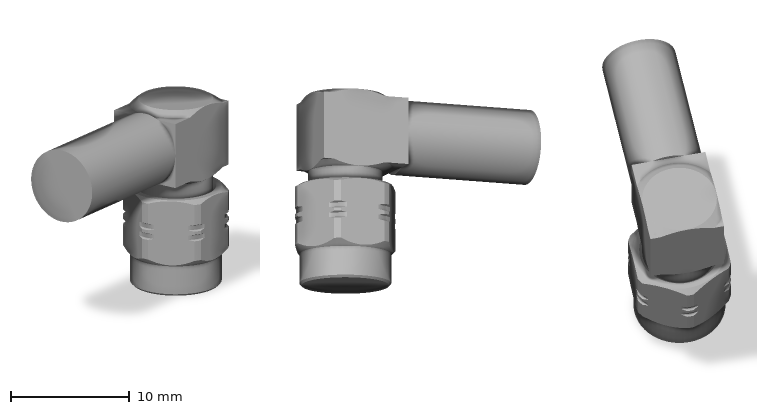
import cadquery as cq
import math


OVERALL_LENGTH = 20.95

NUT_HEIGHT = 8.52
NUT_SIDES = 6
NUT_ACROSS_FLATS = 8.0
NUT_CORNER_RADIUS = 4.45
BARREL_RADIUS = 3.87
BARREL_HEIGHT = 2.65
BARREL_CHAMFER = 0.19
NUT_TOP_FACE_RADIUS = 3.92
TOP_CHAMFER_ANGLE = 30

GROOVE_FLOOR_RADIUS = 4.25
GROOVE_FLOOR_WIDTH = 0.38
GROOVE_MOUTH_WIDTH = 0.59
GROOVE_HEIGHTS = (5.28, 6.14)

NECK_RADIUS = 3.15
BORE_FLOOR_HEIGHT = BARREL_HEIGHT
COUNTERSINK_RADIUS = 3.4
COUNTERSINK_DEPTH = COUNTERSINK_RADIUS - NECK_RADIUS

BLOCK_WIDTH = 6.35
BLOCK_BOTTOM = 9.7
BLOCK_TOP = 16.3
BLOCK_FRONT = 4.48
BLOCK_FACE_RADIUS = 3.15
BLOCK_CHAMFER_RADIUS = 3.94
BLOCK_CHAMFER_ANGLE = 30

FERRULE_RADIUS = 3.16
FERRULE_LENGTH = OVERALL_LENGTH - NUT_CORNER_RADIUS - BLOCK_FRONT


def revolve_profile(points):
    """Revolve a closed (radius, height) outline about the Z axis."""
    return cq.Workplane("XZ").polyline(points).close().revolve(360, (0, 0), (0, 1))


def make_nut_envelope():
    """Turned outside shape: chamfered barrel, flared shoulder and chamfered top."""
    shoulder_rise = NUT_CORNER_RADIUS - BARREL_RADIUS
    top_drop = (NUT_CORNER_RADIUS - NUT_TOP_FACE_RADIUS) * math.tan(math.radians(TOP_CHAMFER_ANGLE))
    return revolve_profile([
        (0, 0),
        (BARREL_RADIUS - BARREL_CHAMFER, 0),
        (BARREL_RADIUS, BARREL_CHAMFER),
        (BARREL_RADIUS, BARREL_HEIGHT),
        (NUT_CORNER_RADIUS, BARREL_HEIGHT + shoulder_rise),
        (NUT_CORNER_RADIUS, NUT_HEIGHT - top_drop),
        (NUT_TOP_FACE_RADIUS, NUT_HEIGHT),
        (0, NUT_HEIGHT),
    ])


def make_hexagon():
    """Hexagonal prism with two flats square to X and two corners on Y."""
    half_side_angle = 180 / NUT_SIDES
    across_corners = NUT_ACROSS_FLATS / math.cos(math.radians(half_side_angle))
    return (
        cq.Workplane("XY")
        .transformed(rotate=(0, 0, half_side_angle))
        .polygon(NUT_SIDES, across_corners)
        .extrude(NUT_HEIGHT)
    )


def make_corner_groove(height):
    """Ring with sloping walls, centred at the given height, that notches the hexagon corners."""
    wall_slope = (GROOVE_MOUTH_WIDTH - GROOVE_FLOOR_WIDTH) / 2 / (NUT_CORNER_RADIUS - GROOVE_FLOOR_RADIUS)
    outer_radius = NUT_CORNER_RADIUS + 0.2
    half_floor = GROOVE_FLOOR_WIDTH / 2
    half_outer = half_floor + wall_slope * (outer_radius - GROOVE_FLOOR_RADIUS)
    return revolve_profile([
        (GROOVE_FLOOR_RADIUS, height - half_floor),
        (outer_radius, height - half_outer),
        (outer_radius, height + half_outer),
        (GROOVE_FLOOR_RADIUS, height + half_floor),
    ])


def make_nut_bore():
    """Blind bore that fits the neck, with a countersunk mouth."""
    return revolve_profile([
        (0, BORE_FLOOR_HEIGHT),
        (NECK_RADIUS, BORE_FLOOR_HEIGHT),
        (NECK_RADIUS, NUT_HEIGHT - COUNTERSINK_DEPTH),
        (COUNTERSINK_RADIUS, NUT_HEIGHT),
        (0, NUT_HEIGHT),
    ])


def make_nut():
    nut = make_nut_envelope().intersect(make_hexagon())
    for height in GROOVE_HEIGHTS:
        nut = nut.cut(make_corner_groove(height))
    return nut.cut(make_nut_bore())


def make_block():
    """Rectangular block whose top and bottom are turned down to round faces."""
    length = BLOCK_FRONT + BLOCK_WIDTH / 2
    block = cq.Workplane("XY").box(
        BLOCK_WIDTH, length, BLOCK_TOP - BLOCK_BOTTOM, centered=(True, False, False)
    ).translate((0, -BLOCK_FRONT, BLOCK_BOTTOM))

    chamfer_height = (BLOCK_CHAMFER_RADIUS - BLOCK_FACE_RADIUS) * math.tan(math.radians(BLOCK_CHAMFER_ANGLE))
    clear_radius = 2 * BLOCK_FRONT
    top_waste = [
        (BLOCK_FACE_RADIUS, BLOCK_TOP),
        (BLOCK_CHAMFER_RADIUS, BLOCK_TOP - chamfer_height),
        (clear_radius, BLOCK_TOP - chamfer_height),
        (clear_radius, BLOCK_TOP),
    ]
    bottom_waste = [(radius, BLOCK_TOP + BLOCK_BOTTOM - height) for radius, height in top_waste]
    return block.cut(revolve_profile(top_waste)).cut(revolve_profile(bottom_waste))


def make_neck():
    """Round neck from the floor of the nut bore up to the block."""
    return (
        cq.Workplane("XY", origin=(0, 0, BORE_FLOOR_HEIGHT))
        .circle(NECK_RADIUS)
        .extrude(BLOCK_BOTTOM - BORE_FLOOR_HEIGHT)
    )


def make_ferrule():
    """Round cable ferrule running along -Y from the front face of the block."""
    middle_height = (BLOCK_BOTTOM + BLOCK_TOP) / 2
    return (
        cq.Workplane("XZ", origin=(0, -BLOCK_FRONT, middle_height))
        .circle(FERRULE_RADIUS)
        .extrude(FERRULE_LENGTH)
    )


def make_elbow():
    return make_block().union(make_neck()).union(make_ferrule())


nut = make_nut()
elbow = make_elbow()

result = cq.Compound.makeCompound([nut.val(), elbow.val()])